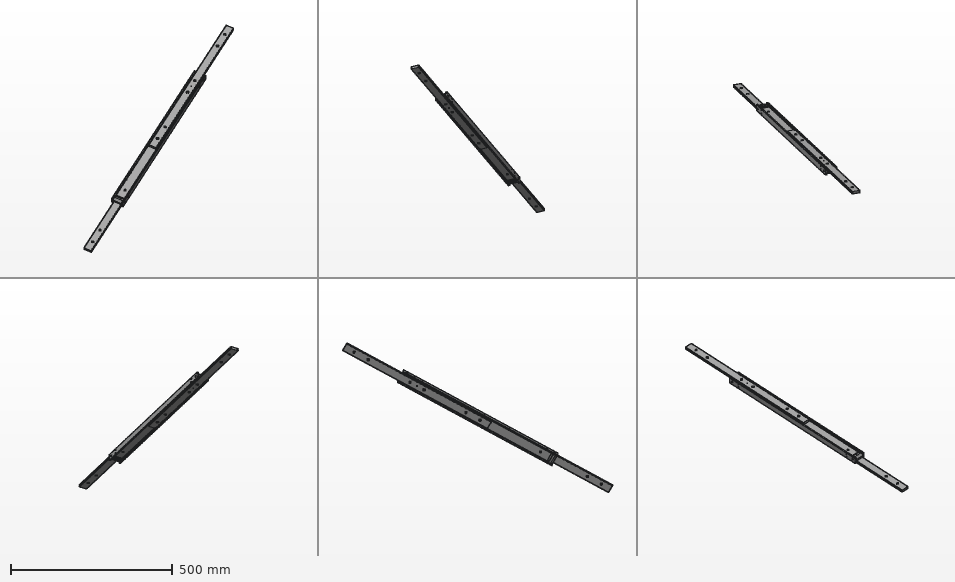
import cadquery as cq

total_length = 950.0
total_height = 24.0

channel_length = 552.0
channel_width = 40.0
channel_height = 20.0
wall_thickness = 5.0
web_thickness = 6.0
channel_inner_width = channel_width - 2 * wall_thickness
web_hole_diameter = 6.0
web_hole_y = 224.0
stop_screw_diameter = 5.0
stop_screw_from_end = 12.0
side_pin_diameter = 3.5
side_pin_from_end = 39.0
side_pin_z = 6.0

rail_length = 517.0
rail_width = 27.0
rail_thickness = 8.5
rail_edge_chamfer = 1.0
rail_hole_pitch = 200.0
rail_holes_per_row = 3
slot_from_end = 33.0
countersunk_from_end = slot_from_end + 50.0
slot_length = 8.0
slot_width = 5.5
screw_diameter = 7.0
countersink_diameter = 8.2
countersink_angle = 90.0
pin_hole_diameter = 2.0
pin_hole_from_end = 258.0

track_radius = 2.2
rail_track_depth = 3.2
wall_track_depth = 1.2
track_z = (total_height - rail_thickness) / 2

stop_length = 20.0
stop_nose_length = 6.0
stop_nose_width = 26.0
stop_ramp_length = 7.5
stop_top_z = 10.0
stop_nose_height = 3.0


def y_cylinder(radius, length, x, y_start, z):
    """Cylinder along +Y starting at y_start."""
    return cq.Workplane(cq.Solid.makeCylinder(radius, length, cq.Vector(x, y_start, z), cq.Vector(0, 1, 0)))


def turned_over(body):
    """Copy for the lower half: half a turn about the X axis."""
    return body.rotate((0, 0, 0), (1, 0, 0), 180)


def make_channel():
    channel = cq.Workplane("XY").box(channel_width, channel_length, channel_height)
    pocket_depth = (channel_height - web_thickness) / 2
    track_x = channel_inner_width / 2 + wall_track_depth - track_radius
    for side in (1, -1):
        pocket_z = side * (web_thickness + pocket_depth) / 2
        pocket = cq.Workplane("XY").box(channel_inner_width, channel_length, pocket_depth)
        channel = channel.cut(pocket.translate((0, 0, pocket_z)))
        for x in (-track_x, track_x):
            channel = channel.cut(
                y_cylinder(track_radius, channel_length, x, -channel_length / 2, side * track_z)
            )
    return drill_channel(notch_web(channel))


def notch_web(channel):
    """Open the web at both ends where the end stops sit."""
    block_length = stop_length - stop_nose_length
    notch = cq.Workplane("XY").box(channel_inner_width, block_length, web_thickness)
    notch_y = (channel_length - block_length) / 2
    return channel.cut(notch.translate((0, notch_y, 0))).cut(notch.translate((0, -notch_y, 0)))


def drill_channel(channel):
    web_holes = (
        cq.Workplane("XY")
        .pushPoints([(0, -web_hole_y), (0, web_hole_y)])
        .circle(web_hole_diameter / 2)
        .extrude(web_thickness, both=True)
    )
    channel = channel.cut(web_holes)
    screw_y = channel_length / 2 - stop_screw_from_end
    pin_y = channel_length / 2 - side_pin_from_end
    screw_points = [(y, 0) for y in (-screw_y, screw_y)]
    pin_points = [(y, z) for y in (-pin_y, pin_y) for z in (-side_pin_z, side_pin_z)]
    for side in (-1, 1):
        wall = cq.Workplane("YZ").workplane(offset=side * channel_width / 2)
        for points, diameter in ((screw_points, stop_screw_diameter), (pin_points, side_pin_diameter)):
            holes = wall.pushPoints(points).circle(diameter / 2).extrude(-side * wall_thickness)
            channel = channel.cut(holes)
    return channel


def make_upper_rail():
    rail_end = total_length / 2
    rail_top = total_height / 2
    rail = (
        cq.Workplane("XY")
        .box(rail_width, rail_length, rail_thickness)
        .edges("|Y")
        .chamfer(rail_edge_chamfer)
        .translate((0, rail_end - rail_length / 2, track_z))
    )
    track_x = rail_width / 2 - rail_track_depth + track_radius
    for x in (-track_x, track_x):
        rail = rail.cut(y_cylinder(track_radius, rail_length, x, rail_end - rail_length, track_z))

    steps = [index * rail_hole_pitch for index in range(rail_holes_per_row)]
    top_face = cq.Workplane("XY", origin=(0, 0, rail_top))
    slots = (
        top_face.pushPoints([(0, rail_end - slot_from_end - step) for step in steps])
        .slot2D(slot_length, slot_width)
        .extrude(-rail_thickness)
    )
    pin_hole = (
        top_face.center(0, rail_end - pin_hole_from_end)
        .circle(pin_hole_diameter / 2)
        .extrude(-rail_thickness)
    )
    return (
        rail.cut(slots)
        .cut(pin_hole)
        .faces(">Z")
        .workplane(origin=(0, 0, rail_top))
        .pushPoints([(0, rail_end - countersunk_from_end - step) for step in steps])
        .cskHole(screw_diameter, countersink_diameter, countersink_angle)
    )


def make_upper_stop():
    """Block set into the web at the -Y end: outer ramp, flat top and a lower, narrower nose on the web."""
    outer_y = -channel_length / 2
    nose_y = outer_y + stop_length - stop_nose_length
    web_top = web_thickness / 2
    block = (
        cq.Workplane("YZ")
        .moveTo(outer_y, -web_top)
        .lineTo(nose_y, -web_top)
        .lineTo(nose_y, stop_top_z)
        .lineTo(outer_y + stop_ramp_length, stop_top_z)
        .lineTo(outer_y, web_top)
        .close()
        .extrude(channel_inner_width / 2, both=True)
    )
    nose = cq.Workplane("XY").box(stop_nose_width, stop_nose_length, stop_nose_height)
    return block.union(nose.translate((0, nose_y + stop_nose_length / 2, web_top + stop_nose_height / 2)))


channel = make_channel()
upper_rail = make_upper_rail()
lower_rail = turned_over(upper_rail)
upper_stop = make_upper_stop()
lower_stop = turned_over(upper_stop)

result = cq.Compound.makeCompound(
    [
        channel.val(),
        upper_rail.val(),
        lower_rail.val(),
        upper_stop.val(),
        lower_stop.val(),
    ]
)